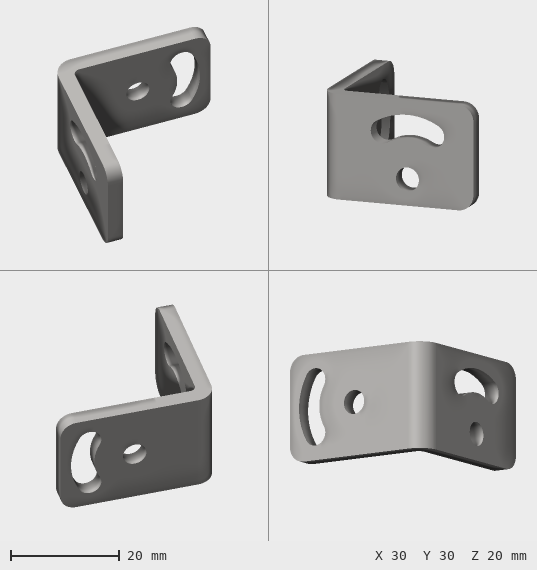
import cadquery as cq
import math

leg_length = 30.0
height = 20.0
thickness = 3.0
outer_bend_radius = 3.6
inner_bend_radius = 1.2
corner_radius = 3.0

hole_diameter = 4.5
slot_width = hole_diameter
slot_radius = 10.0
slot_half_angle = 30.0
front_pivot_x = 17.0
front_pivot_z = 5.0
side_pivot_y = 15.75
side_pivot_z = height / 2


def polar(center, radius, angle):
    """Point at an angle in degrees around a centre."""
    a = math.radians(angle)
    return (center[0] + radius * math.cos(a), center[1] + radius * math.sin(a))


def pivot_cutter(plane, pivot, slot_direction):
    """Round hole plus a round-ended arc slot, running through one leg.

    slot_direction is the angle from the pivot to the middle of the slot.
    """
    start = slot_direction - slot_half_angle
    end = slot_direction + slot_half_angle
    inner = slot_radius - slot_width / 2
    outer = slot_radius + slot_width / 2
    end_cap_center = polar(pivot, slot_radius, end)
    start_cap_center = polar(pivot, slot_radius, start)

    slot = (
        cq.Workplane(plane)
        .moveTo(*polar(pivot, outer, start))
        .threePointArc(polar(pivot, outer, slot_direction), polar(pivot, outer, end))
        .threePointArc(polar(end_cap_center, slot_width / 2, end + 90), polar(pivot, inner, end))
        .threePointArc(polar(pivot, inner, slot_direction), polar(pivot, inner, start))
        .threePointArc(polar(start_cap_center, slot_width / 2, start - 90), polar(pivot, outer, start))
        .close()
        .extrude(thickness, both=True)
    )
    hole = (
        cq.Workplane(plane)
        .center(*pivot)
        .circle(hole_diameter / 2)
        .extrude(thickness, both=True)
    )
    return slot.union(hole)


bracket = (
    cq.Workplane("XY")
    .polyline([
        (0, 0),
        (leg_length, 0),
        (leg_length, thickness),
        (thickness, thickness),
        (thickness, leg_length),
        (0, leg_length),
    ])
    .close()
    .extrude(height)
)
bracket = bracket.edges(cq.selectors.NearestToPointSelector((0, 0, height / 2))).fillet(outer_bend_radius)
inner_bend = cq.selectors.NearestToPointSelector((thickness, thickness, height / 2))
bracket = bracket.edges(inner_bend).fillet(inner_bend_radius)

bracket = bracket.faces(">X").edges("|Y").fillet(corner_radius)
bracket = bracket.faces(">Y").edges("|X").fillet(corner_radius)

front_cutter = pivot_cutter("XZ", (front_pivot_x, front_pivot_z), 90)
side_cutter = pivot_cutter("YZ", (side_pivot_y, side_pivot_z), 0)

result = bracket.cut(front_cutter).cut(side_cutter)